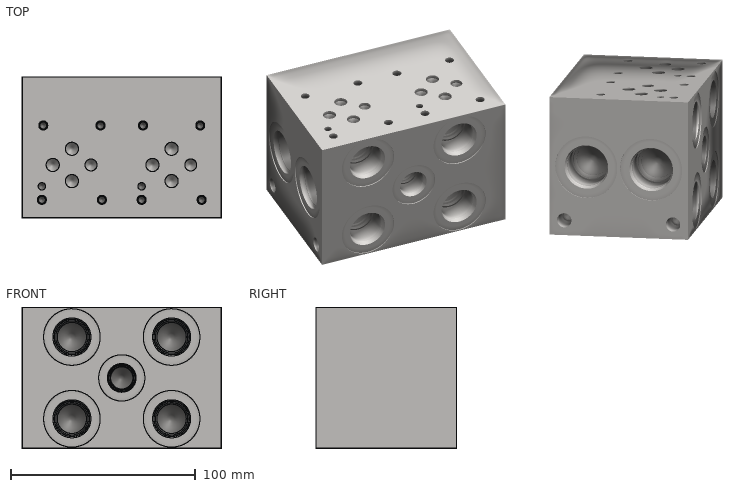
import cadquery as cq
import math

LENGTH = 108.0
DEPTH = 76.2
HEIGHT = 76.2
FRONT_Y = -DEPTH / 2
LEFT_X = -LENGTH / 2
TOP_Z = HEIGHT / 2

POINT_ANGLE = 118.0

SPOTFACE_DEPTH = 0.5
SEAL_CONE_DEPTH = 2.7
SIDE_PORT = dict(spotface=34.1, mouth=24.0, throat=22.6, thread=22.2, tapping=20.4, pilot=17.5,
                 thread_depth=16.7, tapping_depth=18.9, pilot_depth=20.5)
WORK_PORT = dict(spotface=30.7, mouth=20.6, throat=19.2, thread=19.0, tapping=17.5, pilot=15.9,
                 thread_depth=14.2, tapping_depth=16.2, pilot_depth=17.8)
GAUGE_PORT = dict(spotface=25.0, mouth=15.5, throat=14.5, thread=14.2, tapping=13.0, pilot=12.1,
                  thread_depth=11.9, tapping_depth=13.5, pilot_depth=15.1)
SIDE_PORT_Y = 17.8
WORK_PORT_Z = 22.1

STATION_X = 27.0
REAR_BOLT_Y = 11.9
FRONT_BOLT_Y = -28.4
REAR_BOLT_SPAN = 31.0
FRONT_BOLT_SPAN = 32.5
LOCATING_PIN_Y = -21.0
PASSAGE_CENTRE_Y = -9.5
PASSAGE_OFFSET_X = 10.4
PASSAGE_OFFSET_Y = 8.7
PASSAGE_DIAMETER = 7.1
SMALL_PASSAGE_DIAMETER = 6.5
PASSAGE_DEPTH = 1.8
LOCATING_PIN_DIAMETER = 4.0
LOCATING_PIN_DEPTH = 5.4
BOLT = dict(thread=4.9, tapping=3.8, thread_depth=10.8, tapping_depth=13.0)

MOUNT = dict(thread=7.9, tapping=6.5, thread_depth=15.1, tapping_depth=17.3)
MOUNT_Y = 29.9
MOUNT_Z = -29.9


def front_face(x, z):
    """Plane on the front face with its normal pointing into the block."""
    return cq.Plane(origin=(x, FRONT_Y, z), xDir=(1, 0, 0), normal=(0, 1, 0))


def left_face(y, z):
    """Plane on the left end with its normal pointing into the block."""
    return cq.Plane(origin=(LEFT_X, y, z), xDir=(0, 1, 0), normal=(1, 0, 0))


def top_face(x, y):
    """Plane on the top face with its normal pointing into the block."""
    return cq.Plane(origin=(x, y, TOP_Z), xDir=(1, 0, 0), normal=(0, 0, -1))


def drill_cone_length(start_diameter, end_diameter=0.0):
    """Axial length of a drill-point cone narrowing from one diameter to another."""
    return (start_diameter - end_diameter) / 2 / math.tan(math.radians(POINT_ANGLE / 2))


def turned_cutter(plane, steps):
    """Revolve (diameter, depth) corners about the plane normal and close them with a drill point."""
    last_diameter, last_depth = steps[-1]
    tip_depth = last_depth + drill_cone_length(last_diameter)
    corners = [(diameter / 2, depth) for diameter, depth in steps]
    axial_plane = cq.Plane(origin=plane.origin, xDir=plane.xDir, normal=plane.xDir.cross(plane.zDir))
    profile = cq.Workplane(axial_plane).polyline([(0, 0)] + corners + [(0, tip_depth)]).close()
    return profile.revolve(360, (0, 0), (0, 1))


def port(plane, size):
    """Port with a spotface, a tapered seal seat and a stepped bore with a conical pilot step."""
    seat_end = SPOTFACE_DEPTH + SEAL_CONE_DEPTH
    chamfer_end = seat_end + (size["throat"] - size["thread"]) / 2
    pilot_start = size["tapping_depth"] + drill_cone_length(size["tapping"], size["pilot"])
    return turned_cutter(plane, [
        (size["spotface"], 0),
        (size["spotface"], SPOTFACE_DEPTH),
        (size["mouth"], SPOTFACE_DEPTH),
        (size["throat"], seat_end),
        (size["thread"], chamfer_end),
        (size["thread"], size["thread_depth"]),
        (size["tapping"], size["thread_depth"]),
        (size["tapping"], size["tapping_depth"]),
        (size["pilot"], pilot_start),
        (size["pilot"], size["pilot_depth"]),
    ])


def tapped_hole(plane, size):
    """Blind hole at thread diameter continuing as its narrower tapping drill."""
    return turned_cutter(plane, [
        (size["thread"], 0),
        (size["thread"], size["thread_depth"]),
        (size["tapping"], size["thread_depth"]),
        (size["tapping"], size["tapping_depth"]),
    ])


def drilled_hole(plane, diameter, depth):
    """Plain blind hole with a drill point."""
    return turned_cutter(plane, [(diameter, 0), (diameter, depth)])


def valve_station(x):
    """Four bolt holes, a locating pin hole and four flow passages centred on x."""
    cutters = []
    for side in (-1, 1):
        cutters.append(tapped_hole(top_face(x + side * REAR_BOLT_SPAN / 2, REAR_BOLT_Y), BOLT))
        cutters.append(tapped_hole(top_face(x + side * FRONT_BOLT_SPAN / 2, FRONT_BOLT_Y), BOLT))
        passage = top_face(x, PASSAGE_CENTRE_Y + side * PASSAGE_OFFSET_Y)
        cutters.append(drilled_hole(passage, PASSAGE_DIAMETER, PASSAGE_DEPTH))
    left_passage = top_face(x - PASSAGE_OFFSET_X, PASSAGE_CENTRE_Y)
    cutters.append(drilled_hole(left_passage, PASSAGE_DIAMETER, PASSAGE_DEPTH))
    right_passage = top_face(x + PASSAGE_OFFSET_X, PASSAGE_CENTRE_Y)
    cutters.append(drilled_hole(right_passage, SMALL_PASSAGE_DIAMETER, PASSAGE_DEPTH))
    pin = top_face(x - FRONT_BOLT_SPAN / 2, LOCATING_PIN_Y)
    cutters.append(drilled_hole(pin, LOCATING_PIN_DIAMETER, LOCATING_PIN_DEPTH))
    return cutters


openings = [port(front_face(0, 0), GAUGE_PORT)]
for side in (-1, 1):
    openings.append(port(left_face(side * SIDE_PORT_Y, 0), SIDE_PORT))
    openings.append(tapped_hole(left_face(side * MOUNT_Y, MOUNT_Z), MOUNT))
    for level in (-1, 1):
        openings.append(port(front_face(side * STATION_X, level * WORK_PORT_Z), WORK_PORT))
    openings.extend(valve_station(side * STATION_X))

result = cq.Workplane("XY").box(LENGTH, DEPTH, HEIGHT)
for opening in openings:
    result = result.cut(opening)